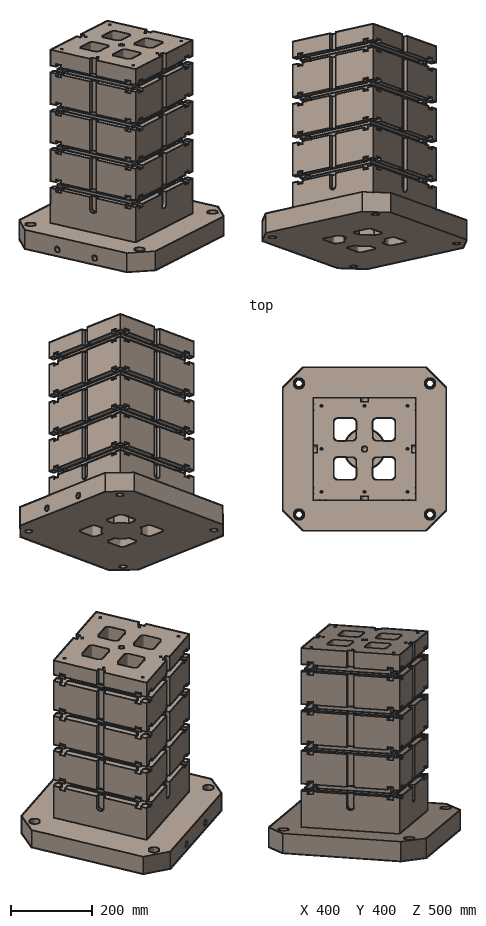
import cadquery as cq
import math

base_size = 400.0
base_height = 50.0
base_corner_chamfer = 50.0

tower_size = 250.0
total_height = 500.0
tower_half = tower_size / 2

slot_count = 4
slot_pitch = 100.0
slot_first_height = 150.0
slot_heights = [slot_first_height + index * slot_pitch for index in range(slot_count)]
slot_neck_width = 18.0
slot_head_width = 32.0
slot_head_start = 16.0
slot_head_end = 30.5
slot_floor_width = 16.0
slot_floor_depth = 32.0

keyway_width = 18.0
keyway_depth = 10.0
keyway_bottom = 101.0

pocket_size = 55.0
pocket_web = 40.0
pocket_offset = (pocket_web + pocket_size) / 2
pocket_corner_radius = 10.0
hub_diameter = 100.0

mount_offset = 160.0
mount_diameter = 18.0
mount_bore_diameter = 26.0
mount_bore_depth = 30.0

drill_half_angle = math.radians(59)
center_hole_diameter = 14.0
center_hole_depth = 30.0
top_hole_diameter = 5.0
top_hole_depth = 15.0
top_hole_offset = 105.0
side_hole_diameter = 14.0
side_hole_depth = 30.0
side_hole_offset = 55.0
side_hole_height = 18.0


def around_tower(cutter):
    """Return four copies of a cutter, one for each tower face."""
    return [cutter.rotate((0, 0, 0), (0, 0, 1), 90 * turn) for turn in range(4)]


def square_points(offset):
    """Return the corners of a square centered on the Z axis."""
    return [(x, y) for x in (-offset, offset) for y in (-offset, offset)]


def drilled_hole(diameter, depth):
    """Blind hole along -Z from the origin, with its drill point below the full depth."""
    radius = diameter / 2
    tip = depth + radius / math.tan(drill_half_angle)
    profile = [(0, 0), (radius, 0), (radius, -depth), (0, -tip)]
    return cq.Workplane("XZ").polyline(profile).close().revolve(360, (0, 0), (0, 1))


def t_slot(height):
    """T-slot along the -Y face: neck, wider head and a narrow relief in the floor."""
    slot = None
    for start, end, width in (
        (0, slot_head_end, slot_neck_width),
        (slot_head_start, slot_head_end, slot_head_width),
        (slot_head_end, slot_floor_depth, slot_floor_width),
    ):
        bar = (
            cq.Workplane("XY")
            .box(tower_size, end - start, width)
            .translate((0, (start + end) / 2 - tower_half, height))
        )
        slot = bar if slot is None else slot.union(bar)
    return slot


def keyway():
    """Keyway in the -Y face, open at the top and round at the bottom."""
    radius = keyway_width / 2
    return (
        cq.Workplane("XZ", origin=(0, -tower_half, 0))
        .moveTo(-radius, total_height)
        .lineTo(-radius, keyway_bottom + radius)
        .threePointArc((0, keyway_bottom), (radius, keyway_bottom + radius))
        .lineTo(radius, total_height)
        .close()
        .extrude(-keyway_depth)
    )


base = cq.Workplane("XY").rect(base_size, base_size).extrude(base_height)
base = base.edges("|Z").chamfer(base_corner_chamfer)
tower = cq.Workplane("XY").rect(tower_size, tower_size).extrude(total_height)
result = base.union(tower)

for slot_height in slot_heights:
    for cutter in around_tower(t_slot(slot_height)):
        result = result.cut(cutter)
for cutter in around_tower(keyway()):
    result = result.cut(cutter)

pockets = (
    cq.Workplane("XY")
    .pushPoints(square_points(pocket_offset))
    .rect(pocket_size, pocket_size)
    .extrude(total_height)
    .edges("|Z")
    .fillet(pocket_corner_radius)
)
hub = cq.Workplane("XY").circle(hub_diameter / 2).extrude(base_height)
result = result.cut(pockets.cut(hub))

mount_holes = (
    cq.Workplane("XY")
    .pushPoints(square_points(mount_offset))
    .circle(mount_diameter / 2)
    .extrude(base_height)
)
mount_bores = (
    cq.Workplane("XY", origin=(0, 0, base_height))
    .pushPoints(square_points(mount_offset))
    .circle(mount_bore_diameter / 2)
    .extrude(-mount_bore_depth)
)
result = result.cut(mount_holes).cut(mount_bores)

center_hole = drilled_hole(center_hole_diameter, center_hole_depth)
result = result.cut(center_hole.translate((0, 0, total_height)))
top_hole = drilled_hole(top_hole_diameter, top_hole_depth)
hole_steps = (-top_hole_offset, 0, top_hole_offset)
for x in hole_steps:
    for y in hole_steps:
        if x or y:
            result = result.cut(top_hole.translate((x, y, total_height)))

side_hole = drilled_hole(side_hole_diameter, side_hole_depth).rotate((0, 0, 0), (1, 0, 0), 90)
for x in (-side_hole_offset, side_hole_offset):
    result = result.cut(side_hole.translate((x, -base_size / 2, side_hole_height)))